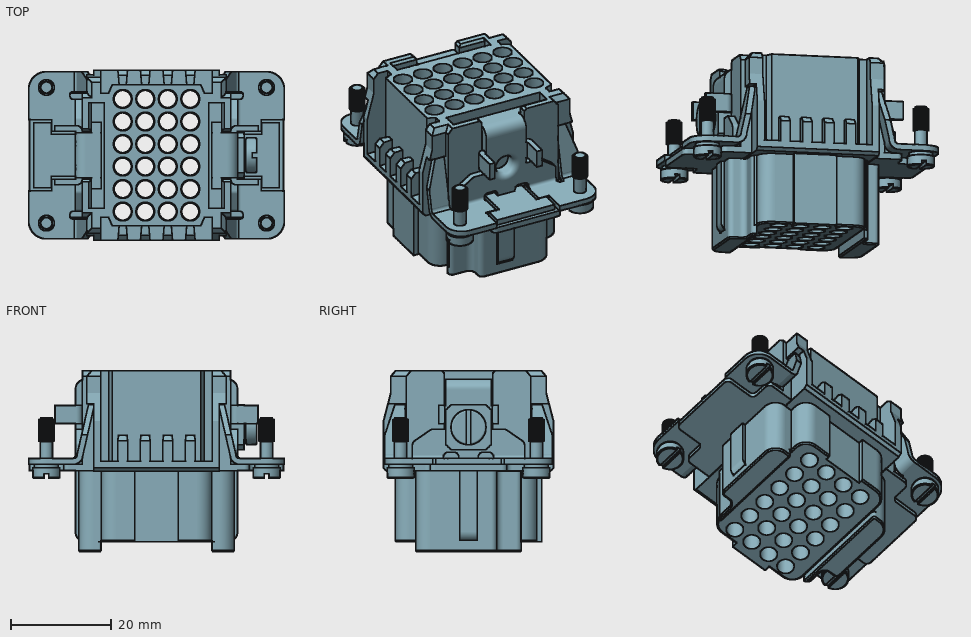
import cadquery as cq

joint_overlap = 0.5

top_z = 20.05
skirt_x = 12.55
skirt_width = 33.9
skirt_y = skirt_width / 2
skirt_top = 2.05
skirt_edge = 0.65
wall_x = 14.8
wall_y = 12.4
post_inner_x = 11.05
post_outer_x = 13.85
post_top_y = 15.5
post_slope_low, post_slope_high = 10.0, 15.6
post_ledge_z = 13.45
top_bevel_rise = 1.1
top_bevel_run = 0.95
block_y = 14.0
block_face_x = 8.8
block_slant_x = 9.55

pitch = 4.5
columns, rows = 4, 6
hole_d = 3.4
hole_mouth_d = 3.7
hole_mouth_depth = 2.55
rib_width = 1.95
rib_back_width = 1.35
rib_top = 7.15
rib_front_top = 6.1
rib_bevel = 1.0

pocket_inner_x, pocket_outer_x = 10.45, 12.95
pocket_y = 10.5
pocket_depth = 5.1
pocket_chamfer = 0.5
notch_y = 4.8
notch_groove = 0.5

body_bottom = -14.1
leg_bottom = -16.05
body_x = 11.0
body_y = 13.6
key_y = 14.65
key_x = 4.35
leg_x = 15.5
leg_inner_r = 0.5
leg_y = 10.55
corner_r = 2.9
leg_step_y = 4.6
leg_edge_r, leg_root_r = 1.0, 1.3
leg_back_r = 1.0
leg_step_x = body_x + leg_back_r
bottom_chamfer = 0.3
clip_y = 1.8
clip_bend_r = 1.85
clip_bend_z = -12.1
clip_pocket_z = -13.75

sheet = 1.15
flange_length = 51.0
flange_x = flange_length / 2
flange_y = 16.7
flange_top = 2.55
flange_under = flange_top - sheet
flange_corner_r = 3.55
clamp_x = 16.15
clamp_foot_y, clamp_foot_z = 11.15, 5.75
clamp_shoulder_y, clamp_shoulder_z = 7.4, 8.35
clamp_corner_r = 1.0
strap_y = 4.5
strap_top = 18.35
strap_bend_r = 2.05
strap_end_x = 11.0
strap_head_y = 6.65
bend_r = 0.65
relief_inner_y, relief_outer_y, relief_z = 1.95, 5.0, 3.8
relief_corner_r = 1.0
tab_inner_y = 12.65
tab_top = 13.2
tab_bend_x = 15.8
tab_bend_rise = 0.8
tab_bend_run = 0.55
tab_tip_width, tab_tip_height = 1.0, 0.75
tab_slope_z, tab_slope_y = 7.25, 14.7
slot_x = 17.25
opening_x = 20.85
opening_y = 7.1
opening_neck_y = 4.8
gap = 0.6
shoulder_gap = 0.15
arm_x = 20.25
arm_y = 5.9
arm_bottom, arm_top = 9.5, 13.1

collar_bottom = 0.15
lip_x = 25.35
tongue_x = 24.5
collar_x = 18.5
collar_lip_y = 7.65
collar_r = 1.0

screw_x, screw_y = 21.95, 13.5
screw_head_d = 5.4
screw_neck_d = 4.8
screw_head_edge = 0.2
screw_head_top, screw_head_bottom = 0.65, -1.4
shank_d = 2.5
thread_d = 3.1
thread_root_d = 2.4
thread_start, thread_end = 5.9, 10.4
thread_turns = 9
tip_height = 0.3
tip_d = 2.25
drive_width, drive_depth = 0.9, 0.85

ground_z = 8.75
ground_mouth_d = 6.2
ground_hole_d = 4.0
ground_hole_depth = 3.05
washer_half = 4.5
washer_bevel = 1.0
washer_x = 17.45
ground_neck_d = 4.8
ground_head_d = 7.0
ground_head_in_x, ground_head_out_x = 17.8, 20.0
ground_head_edge = 0.4


def box(x0, x1, y0, y1, z0, z1):
    return cq.Workplane("XY").box(x1 - x0, y1 - y0, z1 - z0, centered=False).translate((x0, y0, z0))


def centred_box(half_x, half_y, z0, z1):
    return box(-half_x, half_x, -half_y, half_y, z0, z1)


def along_x(points, x0, x1):
    """Extrude a closed (Y, Z) outline from x0 to x1."""
    return cq.Workplane("YZ").polyline(points).close().extrude(x1 - x0).translate((x0, 0, 0))


def along_y(points, y0, y1):
    """Extrude a closed (X, Z) outline from y0 to y1."""
    return cq.Workplane("XZ").polyline(points).close().extrude(y0 - y1).translate((0, y0, 0))


def both_ways(shape, plane):
    """Join a shape with its mirror image in a plane through the origin."""
    return shape.union(shape.mirror(plane))


def rod_x(diameter, x0, x1):
    """Round rod along the axis of the grounding screw."""
    disc = cq.Workplane("YZ").center(0, ground_z).circle(diameter / 2)
    return disc.extrude(x1 - x0).translate((x0, 0, 0))


def symmetric(half):
    """Complete a list of (Y, Z) points on the +Y side with their mirror images."""
    return half + [(-y, z) for y, z in reversed(half)]


def corner_posts():
    bevel_z = top_z - top_bevel_rise
    profile = symmetric([
        (skirt_y - skirt_edge, 0),
        (skirt_y, skirt_edge),
        (skirt_y, post_slope_low),
        (post_top_y, post_slope_high),
        (post_top_y, bevel_z),
        (post_top_y - top_bevel_run, top_z),
    ])
    inner = along_x(profile, -skirt_x, skirt_x)
    overhang = along_x(profile, -post_outer_x, post_outer_x)
    overhang = overhang.intersect(centred_box(post_outer_x, skirt_y, post_ledge_z, top_z))
    bevel = along_y([
        (post_outer_x, bevel_z),
        (post_outer_x, top_z),
        (post_outer_x - top_bevel_run, top_z),
    ], -skirt_y, skirt_y)
    return inner.union(overhang.cut(both_ways(bevel, "YZ")))


def end_walls():
    profile = symmetric([
        (wall_y, collar_bottom),
        (wall_y, top_z - top_bevel_rise),
        (wall_y - top_bevel_run, top_z),
    ])
    return along_x(profile, -wall_x, wall_x)


def front_recess():
    """Space in front of the contact block, open to the front and the top."""
    outline = [
        (-post_inner_x, skirt_y),
        (-post_inner_x, wall_y),
        (-block_slant_x, wall_y),
        (-block_face_x, block_y),
        (block_face_x, block_y),
        (block_slant_x, wall_y),
        (post_inner_x, wall_y),
        (post_inner_x, skirt_y),
    ]
    recess = cq.Workplane("XY").workplane(offset=skirt_top).polyline(outline).close()
    return both_ways(recess.extrude(top_z - skirt_top), "XZ")


def column_positions():
    return [(i - (columns - 1) / 2) * pitch for i in range(columns)]


def ribs():
    rib_back_y = block_y - joint_overlap
    profile = [
        (rib_back_y, 0),
        (skirt_y - skirt_edge, 0),
        (skirt_y, skirt_edge),
        (skirt_y, rib_front_top),
        (skirt_y - rib_bevel, rib_top),
        (rib_back_y, rib_top),
    ]
    plan = [
        (-rib_width / 2, skirt_y),
        (-rib_back_width / 2, rib_back_y),
        (rib_back_width / 2, rib_back_y),
        (rib_width / 2, skirt_y),
    ]
    rib = cq.Workplane("XY").polyline(plan).close().extrude(rib_top)
    rib = rib.intersect(along_x(profile, -rib_width / 2, rib_width / 2))
    row = cq.Workplane("XY")
    for x in column_positions():
        row = row.union(rib.translate((x, 0, 0)))
    return both_ways(row, "XZ")


def end_pocket():
    floor_z = top_z - pocket_depth
    pocket = box(-pocket_outer_x, -pocket_inner_x, -pocket_y, pocket_y, floor_z, top_z)
    chamfer = along_y([
        (-pocket_outer_x, top_z),
        (-pocket_outer_x - pocket_chamfer, top_z),
        (-pocket_outer_x, top_z - pocket_chamfer),
    ], -pocket_y, pocket_y)
    notch = box(-wall_x, -pocket_outer_x, -notch_y, notch_y, strap_top - sheet, top_z)
    groove = box(-wall_x, -wall_x + notch_groove, -notch_y, notch_y, clamp_shoulder_z, top_z)
    groove = groove.cut(centred_box(wall_x, strap_y, clamp_shoulder_z, strap_top))
    notch_chamfer = along_x([
        (notch_y, top_z),
        (notch_y + pocket_chamfer, top_z),
        (notch_y, top_z - pocket_chamfer),
    ], -wall_x, -pocket_outer_x)
    notch = notch.union(both_ways(notch_chamfer, "XZ")).union(groove)
    return pocket.union(chamfer).union(notch)


def contact_holes():
    points = cq.Workplane("XY").workplane(offset=leg_bottom).rarray(pitch, pitch, columns, rows)
    holes = points.circle(hole_d / 2).extrude(top_z - leg_bottom)
    mouths = cq.Workplane("XY").workplane(offset=top_z - hole_mouth_depth)
    mouths = mouths.rarray(pitch, pitch, columns, rows).circle(hole_mouth_d / 2).extrude(hole_mouth_depth)
    return holes.union(mouths)


def lower_body():
    core = box(-body_x, body_x, -key_y, body_y, body_bottom, skirt_edge).edges("|Z").fillet(corner_r)
    groove = box(-key_x, key_x, -key_y, -body_y, body_bottom, 0)
    key = box(-key_x, key_x, 0, key_y, body_bottom, skirt_edge)
    return core.faces("<Z").chamfer(bottom_chamfer).cut(groove).union(key)


def leg():
    """End leg at -X; its outer face steps back on the +Y side."""
    edge_y = leg_step_y + leg_edge_r
    outline = (
        cq.Workplane("XY").workplane(offset=leg_bottom)
        .moveTo(-body_x, -leg_y + leg_inner_r)
        .radiusArc((-body_x - leg_inner_r, -leg_y), leg_inner_r)
        .lineTo(-leg_x + corner_r, -leg_y)
        .radiusArc((-leg_x, -leg_y + corner_r), corner_r)
        .lineTo(-leg_x, leg_step_y)
        .radiusArc((-leg_x + leg_edge_r, edge_y), leg_edge_r)
        .lineTo(-leg_step_x - leg_root_r, edge_y)
        .radiusArc((-leg_step_x, edge_y + leg_root_r), -leg_root_r)
        .lineTo(-leg_step_x, leg_y - leg_back_r)
        .radiusArc((-body_x, leg_y), leg_back_r)
        .close()
    )
    solid = outline.extrude(skirt_edge - leg_bottom).faces("<Z").chamfer(bottom_chamfer)
    bridge = box(-body_x - leg_inner_r, -body_x, -leg_y, leg_y, body_bottom, skirt_edge)
    pocket = box(-leg_x, -clamp_x + clip_bend_r, -clip_y, clip_y, clip_pocket_z, clip_bend_z)
    clip = (
        cq.Workplane("XZ").moveTo(-clamp_x, skirt_edge)
        .lineTo(-clamp_x, clip_bend_z)
        .radiusArc((-clamp_x + clip_bend_r, clip_bend_z - clip_bend_r), -clip_bend_r)
        .lineTo(-clamp_x + clip_bend_r, skirt_edge)
        .close().extrude(clip_y, both=True)
    )
    return solid.union(bridge).cut(pocket).union(clip)


def collar():
    wide = centred_box(collar_x, wall_y, collar_bottom, flange_under)
    ends = centred_box(lip_x, collar_lip_y, collar_bottom, flange_under)
    plate = wide.union(ends).edges("|Z").fillet(collar_r)
    shoulder_x = opening_x + shoulder_gap
    tongue = centred_box(tongue_x, opening_y - gap, flange_under, flange_top)
    beside_neck = box(-shoulder_x, shoulder_x, opening_neck_y - gap, opening_y, flange_under, flange_top)
    return plate.union(tongue.cut(both_ways(beside_neck, "XZ")))


def flange():
    plate = box(-flange_x, -wall_x, -flange_y, flange_y, flange_under, flange_top)
    plate = plate.edges("|Z and <X").fillet(flange_corner_r)
    opening = box(-flange_x, -opening_x, -opening_y, opening_y, flange_under, flange_top)
    neck = box(-opening_x, -wall_x, -opening_neck_y, opening_neck_y, flange_under, flange_top)
    slot = box(-slot_x, -wall_x, clamp_foot_y, tab_inner_y, flange_under, flange_top)
    slot = slot.edges("|Z and <X").fillet(sheet / 2)
    beside_tab = box(-tab_bend_x - tab_bend_run, -wall_x, clamp_foot_y, flange_y, flange_under, flange_top)
    return plate.cut(opening).cut(neck).cut(both_ways(slot.union(beside_tab), "XZ"))


def side_tab():
    """Tab bent up from the flange, leaning toward the housing."""
    foot_x = tab_bend_x + tab_bend_run
    bend_z = flange_top + tab_bend_rise
    section = (
        cq.Workplane("XZ").moveTo(-foot_x, flange_under)
        .lineTo(-foot_x, flange_top)
        .radiusArc((-tab_bend_x, bend_z), -tab_bend_rise)
        .lineTo(-skirt_x - tab_tip_width, tab_top)
        .lineTo(-skirt_x, tab_top)
        .lineTo(-skirt_x, tab_top - tab_tip_height)
        .lineTo(-tab_bend_x + sheet, bend_z)
        .radiusArc((-foot_x, flange_under), tab_bend_rise + sheet)
        .close().extrude(-flange_y)
    )
    outline = [
        (tab_inner_y, flange_under),
        (flange_y, flange_under),
        (flange_y, tab_slope_z),
        (tab_slope_y, tab_top),
        (tab_inner_y, tab_top),
    ]
    return section.intersect(along_x(outline, -foot_x, -skirt_x))


def clamp():
    """Upright ground clamp at -X with its top strap, two arms and flange bend."""
    outline = symmetric([
        (clamp_foot_y, flange_under),
        (clamp_foot_y, clamp_foot_z),
        (clamp_shoulder_y, clamp_shoulder_z),
        (strap_y, clamp_shoulder_z),
        (strap_y, strap_top),
    ])
    upright = along_x(outline, -clamp_x, -wall_x)
    for y, z in ((clamp_foot_y, clamp_foot_z), (clamp_shoulder_y, clamp_shoulder_z)):
        for side in (-y, y):
            corner = cq.selectors.NearestToPointSelector((-(clamp_x + wall_x) / 2, side, z))
            upright = upright.edges(corner).fillet(clamp_corner_r)
    strap = box(-wall_x, -strap_end_x, -strap_y, strap_y, strap_top - 2 * sheet, strap_top)
    head = box(-pocket_outer_x, -strap_end_x, -strap_head_y, strap_head_y, strap_top - sheet, strap_top)
    upright = upright.union(strap).edges("|Y and <X and >Z").fillet(strap_bend_r)

    bend = (
        cq.Workplane("XZ").moveTo(-clamp_x, flange_top)
        .lineTo(-clamp_x - bend_r, flange_top)
        .radiusArc((-clamp_x, flange_top + bend_r), -bend_r)
        .close().extrude(relief_outer_y - clamp_foot_y).translate((0, relief_outer_y, 0))
    )
    relief = box(-clamp_x, -wall_x, relief_inner_y, relief_outer_y, flange_under, relief_z)
    relief = relief.edges("|X and >Z").fillet(relief_corner_r)
    arm = box(-arm_x, -wall_x, arm_y - sheet, arm_y, arm_bottom, arm_top)
    arm = arm.union(box(-clamp_x, -wall_x, 0, arm_y, arm_bottom, arm_top))
    arm = arm.edges("|Z and >X and >Y").fillet(sheet)
    foot = upright.union(head).cut(both_ways(relief, "XZ"))
    return foot.union(both_ways(bend.union(arm), "XZ"))


def fixing_screw():
    turn = (thread_end - thread_start) / thread_turns
    head_r = screw_head_d / 2
    profile = [(0, screw_head_bottom), (head_r - screw_head_edge, screw_head_bottom)]
    profile += [(head_r, screw_head_bottom + screw_head_edge)]
    profile += [(head_r, screw_head_top), (screw_neck_d / 2, screw_head_top)]
    profile += [(screw_neck_d / 2, flange_under), (shank_d / 2, flange_under), (shank_d / 2, thread_start)]
    for i in range(thread_turns):
        z = thread_start + i * turn
        profile += [(thread_root_d / 2, z), (thread_d / 2, z + turn / 4), (thread_d / 2, z + turn * 3 / 4)]
    profile += [(thread_root_d / 2, thread_end), (tip_d / 2, thread_end + tip_height)]
    profile += [(0, thread_end + tip_height)]
    body = cq.Workplane("XZ").polyline(profile).close().revolve(360, (0, 0), (0, 1))
    drive = centred_box(drive_width / 2, screw_head_d, screw_head_bottom, screw_head_bottom + drive_depth)
    return body.cut(drive)


def ground_hole():
    mouth_r, hole_r = ground_mouth_d / 2, ground_hole_d / 2
    round_r = mouth_r - hole_r
    profile = (
        cq.Workplane("XY").moveTo(-clamp_x, 0)
        .lineTo(-clamp_x, mouth_r)
        .radiusArc((-clamp_x + round_r, hole_r), -round_r)
        .lineTo(-clamp_x + ground_hole_depth, hole_r)
        .lineTo(-clamp_x + ground_hole_depth, 0)
        .close()
    )
    return profile.revolve(360, (0, 0), (1, 0)).translate((0, 0, ground_z))


def ground_screw():
    washer = cq.Workplane("YZ").center(0, ground_z).rect(2 * washer_half, 2 * washer_half)
    washer = washer.extrude(washer_x - clamp_x).edges("|X").chamfer(washer_bevel).translate((clamp_x, 0, 0))
    head = rod_x(ground_head_d, ground_head_in_x, ground_head_out_x).edges().fillet(ground_head_edge)
    drive = box(
        ground_head_out_x - drive_depth, ground_head_out_x,
        -drive_width / 2, drive_width / 2,
        ground_z - ground_head_d, ground_z + ground_head_d)
    neck = rod_x(ground_neck_d, clamp_x, ground_head_in_x + joint_overlap)
    return washer.union(neck).union(head.cut(drive))


housing = corner_posts().union(end_walls()).cut(front_recess()).union(ribs())
housing = housing.cut(both_ways(end_pocket(), "YZ"))
housing = housing.union(lower_body()).union(both_ways(leg(), "YZ")).union(collar())

metal_end = flange().union(clamp()).union(both_ways(side_tab(), "XZ"))
result = housing.union(both_ways(metal_end, "YZ")).cut(contact_holes())
result = result.cut(ground_hole()).union(ground_screw())

screw = fixing_screw()
for x in (-screw_x, screw_x):
    for y in (-screw_y, screw_y):
        result = result.union(screw.translate((x, y, 0)))